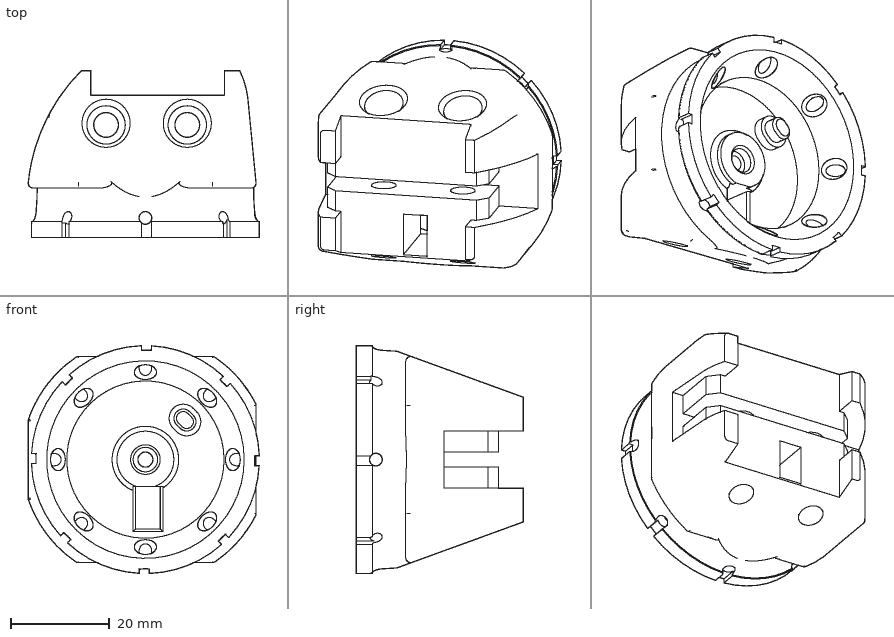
import cadquery as cq
import math

OVERALL_LENGTH = 33.83
EDGE_FILLET = 1.0
FAR = 56.2

RING_RADIUS = 23.1
RING_LENGTH = 3.3
NECK_FOOT_RADIUS = 22.85
NECK_WAIST_RADIUS = 22.2
NECK_WAIST_Y = 4.9
NECK_RADIUS = 21.95
NECK_STRAIGHT_Y = 9.3
NECK_END_Y = 11.7

BODY_START = 10.03
BODY_RADIUS = 25.05
BODY_END_HALF_HEIGHT = 12.65
BODY_TAPER = math.radians(20)
LEFT_START_X = -23.85
LEFT_MIDDLE = (-20.5, 22.95)
LEFT_END_X = -13.0
RIGHT_START_X = 22.55
RIGHT_BEND = (20.8, 27.88)
RIGHT_END_X = 19.1
SHARP_EDGE_START_Y = 25.75

CUP_MOUTH_RADIUS = 20.0
CUP_RADIUS = 15.95
CUP_CONE_DEPTH = 6.15
CUP_DEPTH = 13.02

BOSS_RADIUS = 5.75
BOSS_FACE_Y = 10.95
BORE_RADIUS = 1.5
BORE_RECESS_RADIUS = 2.5
BORE_RECESS_DEPTH = 2.5
SMALL_CHAMFER = 0.5

STUD_OFFSET = 8.0
STUD_RADIUS = 1.87
STUD_STRETCH = 1.0
STUD_TIP_Y = 8.0
PAD_MARGIN = 1.0

WINDOW_WIDTH = 4.95
WINDOW_CENTER_X = 0.5
WINDOW_TOP = -5.5
WINDOW_BOTTOM = -14.05

RADIAL_COUNT = 8
RADIAL_HOLE_RADIUS = 1.25
RADIAL_HOLE_Y = 4.0
COUNTERSINK_CLEARANCE = 0.45
NOTCH_WIDTH = 1.95
NOTCH_SHIFT = 0.25
NOTCH_FLOOR_RADIUS = 22.1

BOLT_X = (-7.95, 8.5)
BOLT_Y = 22.8
BOLT_RADIUS = 2.5
BOLT_HEAD_RADIUS = 3.9
BOLT_SEAT_Z = 10.0

BACK_NOTCH_X = (-11.05, 15.98)
BACK_NOTCH_Y = 28.85
SLOT_Y = 17.8
SLOT_HALF_WIDTH = 1.5
SIDE_POCKET_HALF_WIDTH = 5.75
SIDE_POCKET_X = -14.35
SIDE_POCKET_BEVEL = 2.15


def box(x_range, y_range, z_range):
    """Axis-aligned block between the given limits."""
    size = [high - low for low, high in (x_range, y_range, z_range)]
    corner = cq.Vector(x_range[0], y_range[0], z_range[0])
    return cq.Workplane(obj=cq.Solid.makeBox(*size, corner))


def y_cylinder(radius, start, end):
    """Cylinder about the Y axis."""
    solid = cq.Solid.makeCylinder(radius, end - start, cq.Vector(0, start, 0), cq.Vector(0, 1, 0))
    return cq.Workplane(obj=solid)


def z_cylinder(x, y, radius, start, end):
    """Cylinder parallel to Z."""
    solid = cq.Solid.makeCylinder(radius, end - start, cq.Vector(x, y, start), cq.Vector(0, 0, 1))
    return cq.Workplane(obj=solid)


def wedge():
    """Symmetric wedge whose sloping faces form the top and bottom of the body."""
    start_half_height = BODY_END_HALF_HEIGHT + OVERALL_LENGTH * math.tan(BODY_TAPER)
    outline = [
        (0, -start_half_height),
        (OVERALL_LENGTH, -BODY_END_HALF_HEIGHT),
        (OVERALL_LENGTH, BODY_END_HALF_HEIGHT),
        (0, start_half_height),
    ]
    return cq.Workplane("YZ").polyline(outline).close().extrude(FAR, both=True)


def jaw_body():
    """Rounded body: a cylinder limited by the wedge and two profiled side faces."""
    sides = (
        cq.Workplane("XY")
        .moveTo(RIGHT_START_X, BODY_START)
        .lineTo(*RIGHT_BEND)
        .tangentArcPoint((RIGHT_END_X, OVERALL_LENGTH), relative=False)
        .lineTo(LEFT_END_X, OVERALL_LENGTH)
        .threePointArc(LEFT_MIDDLE, (LEFT_START_X, BODY_START))
        .close()
        .extrude(FAR, both=True)
    )
    body = y_cylinder(BODY_RADIUS, BODY_START, OVERALL_LENGTH).intersect(wedge()).intersect(sides)

    def is_rounded(edge):
        center = edge.Center()
        on_back = center.y > OVERALL_LENGTH - EDGE_FILLET
        on_sharp_top_left = center.x < 0 and center.y > SHARP_EDGE_START_Y and center.z > 0
        return not (on_back or on_sharp_top_left)

    rounded = [edge for edge in body.edges().vals() if is_rounded(edge)]
    return body.newObject(rounded).fillet(EDGE_FILLET)


def ring_and_neck():
    """Plain ring at the open end with a concave flare leading into the neck."""
    profile = (
        cq.Workplane("XY")
        .moveTo(0, NECK_END_Y)
        .lineTo(NECK_RADIUS, NECK_END_Y)
        .lineTo(NECK_RADIUS, NECK_STRAIGHT_Y)
        .spline(
            [(NECK_WAIST_RADIUS, NECK_WAIST_Y), (NECK_FOOT_RADIUS, RING_LENGTH)],
            tangents=[(0, -1), (1, -1)],
            includeCurrent=True,
        )
        .lineTo(RING_RADIUS, RING_LENGTH)
        .lineTo(RING_RADIUS, 0)
        .lineTo(0, 0)
        .close()
    )
    return profile.revolve(360, (0, 0, 0), (0, 1, 0)).intersect(wedge())


def cup():
    """Conical mouth followed by a straight bore."""
    profile = (
        cq.Workplane("XY")
        .lineTo(CUP_MOUTH_RADIUS, 0)
        .lineTo(CUP_RADIUS, CUP_CONE_DEPTH)
        .lineTo(CUP_RADIUS, CUP_DEPTH)
        .lineTo(0, CUP_DEPTH)
        .close()
    )
    return profile.revolve(360, (0, 0, 0), (0, 1, 0))


def slanted_countersink(radius, tilt):
    """Countersink for a hole along Z that opens in a plane through the origin.

    The plane falls towards +Y at the angle tilt. Both edges of the countersink lie where a ball of
    radius EDGE_FILLET touches the plane and the hole wall, so its width follows the slant.
    """
    rim_radius = radius + EDGE_FILLET
    rim_shift = EDGE_FILLET * math.sin(tilt)
    throat_tilt = math.atan(math.tan(tilt) * rim_radius / radius)
    rim_plane = cq.Plane(
        (0, rim_shift, -rim_shift * math.tan(tilt)), (1, 0, 0), (0, math.sin(tilt), math.cos(tilt))
    )
    throat_plane = cq.Plane(
        (0, 0, -EDGE_FILLET / math.cos(tilt)), (1, 0, 0), (0, math.sin(throat_tilt), math.cos(throat_tilt))
    )
    rim = cq.Workplane(rim_plane).ellipse(rim_radius, rim_radius / math.cos(tilt))
    throat = cq.Workplane(throat_plane).ellipse(radius, radius / math.cos(throat_tilt))
    cone = cq.Solid.makeLoft([throat.val(), rim.val()], True)
    clearance = rim.extrude(COUNTERSINK_CLEARANCE)
    return cq.Workplane(obj=cone).union(clearance)


def cut_radial_holes(part):
    """Eight radial holes, countersunk in the conical mouth, each with a notch in the rim."""
    slope = (CUP_MOUTH_RADIUS - CUP_RADIUS) / CUP_CONE_DEPTH
    mouth_radius_at_hole = CUP_MOUTH_RADIUS - slope * RADIAL_HOLE_Y
    hole = z_cylinder(0, RADIAL_HOLE_Y, RADIAL_HOLE_RADIUS, CUP_RADIUS, RING_RADIUS)
    countersink = slanted_countersink(RADIAL_HOLE_RADIUS, math.atan(slope))
    countersink = countersink.rotate((0, 0, 0), (1, 0, 0), 180)
    countersink = countersink.translate((0, RADIAL_HOLE_Y, mouth_radius_at_hole))
    notch_x = (NOTCH_SHIFT - NOTCH_WIDTH / 2, NOTCH_SHIFT + NOTCH_WIDTH / 2)
    notch = box(notch_x, (0, RADIAL_HOLE_Y), (NOTCH_FLOOR_RADIUS, FAR))
    for i in range(RADIAL_COUNT):
        for cutter in (hole, countersink, notch):
            part = part.cut(cutter.rotate((0, 0, 0), (0, 1, 0), i * 360 / RADIAL_COUNT))
    return part


def boss():
    """Central boss with a concave fillet at its foot."""
    profile = (
        cq.Workplane("XY")
        .moveTo(0, BOSS_FACE_Y)
        .lineTo(BOSS_RADIUS, BOSS_FACE_Y)
        .lineTo(BOSS_RADIUS, CUP_DEPTH - EDGE_FILLET)
        .radiusArc((BOSS_RADIUS + EDGE_FILLET, CUP_DEPTH), -EDGE_FILLET)
        .lineTo(0, CUP_DEPTH)
        .close()
    )
    return profile.revolve(360, (0, 0, 0), (0, 1, 0))


def obround(radius, start, end):
    """Slightly stretched round post, its long axis square to the line from the main axis."""
    plane = cq.Plane((STUD_OFFSET, end, STUD_OFFSET), (1, 0, -1), (0, -1, 0))
    return cq.Workplane(plane).slot2D(2 * radius + STUD_STRETCH, 2 * radius).extrude(end - start)


def stud():
    """Chamfered stud standing on a flat pad."""
    pin = obround(STUD_RADIUS, STUD_TIP_Y, CUP_DEPTH).faces("<Y").chamfer(SMALL_CHAMFER)
    return pin.union(obround(STUD_RADIUS + PAD_MARGIN, BOSS_FACE_Y, CUP_DEPTH))


def center_bore():
    """Through bore with a chamfered recess in the boss face."""
    recess = y_cylinder(BORE_RECESS_RADIUS, BOSS_FACE_Y, BOSS_FACE_Y + BORE_RECESS_DEPTH)
    entry = cq.Solid.makeCone(
        BORE_RECESS_RADIUS + SMALL_CHAMFER,
        BORE_RECESS_RADIUS,
        SMALL_CHAMFER,
        cq.Vector(0, BOSS_FACE_Y, 0),
        cq.Vector(0, 1, 0),
    )
    return y_cylinder(BORE_RADIUS, BOSS_FACE_Y, FAR).union(recess).union(cq.Workplane(obj=entry))


def window():
    """Rectangular opening through the floor, bevelled on three sides and trimming the boss."""
    left = WINDOW_CENTER_X - WINDOW_WIDTH / 2
    right = WINDOW_CENTER_X + WINDOW_WIDTH / 2
    opening = box((left, right), (BOSS_FACE_Y, FAR), (WINDOW_BOTTOM, WINDOW_TOP))
    lip_x = (left - SMALL_CHAMFER, right + SMALL_CHAMFER)
    lip_z = (WINDOW_BOTTOM - SMALL_CHAMFER, WINDOW_TOP)
    lip = box(lip_x, (BOSS_FACE_Y, CUP_DEPTH + SMALL_CHAMFER), lip_z)
    lip = lip.edges(">Y and (<X or >X or <Z)").chamfer(SMALL_CHAMFER)
    return opening.union(lip)


def cut_bolt_holes(part):
    """Two cross holes with deep head recesses, countersunk in the sloping top face."""
    top_z = BODY_END_HALF_HEIGHT + (OVERALL_LENGTH - BOLT_Y) * math.tan(BODY_TAPER)
    for x in BOLT_X:
        part = part.cut(z_cylinder(x, BOLT_Y, BOLT_RADIUS, -FAR, FAR))
        part = part.cut(z_cylinder(x, BOLT_Y, BOLT_HEAD_RADIUS, BOLT_SEAT_Z, FAR))
        countersink = slanted_countersink(BOLT_HEAD_RADIUS, BODY_TAPER)
        part = part.cut(countersink.translate((x, BOLT_Y, top_z)))
    return part


def side_pockets():
    """Pocket in the -X face, its inner wall bevelled towards the far end, and its mirror image at +X."""
    half = SIDE_POCKET_HALF_WIDTH
    notch_left, notch_right = BACK_NOTCH_X
    outline = [
        (-FAR, SLOT_Y),
        (SIDE_POCKET_X, SLOT_Y),
        (SIDE_POCKET_X, BACK_NOTCH_Y - SIDE_POCKET_BEVEL),
        (SIDE_POCKET_X + SIDE_POCKET_BEVEL, BACK_NOTCH_Y),
        (notch_left, BACK_NOTCH_Y),
        (notch_left, FAR),
        (-FAR, FAR),
    ]
    pocket = cq.Workplane("XY").workplane(offset=-half).polyline(outline).close().extrude(2 * half)
    return pocket.union(pocket.mirror("YZ", ((notch_left + notch_right) / 2, 0, 0)))


body = cut_bolt_holes(jaw_body())
shell = cut_radial_holes(ring_and_neck().cut(cup()))
part = body.cut(cup()).union(shell).union(boss()).union(stud())
part = part.cut(window()).cut(center_bore())
part = part.cut(box(BACK_NOTCH_X, (BACK_NOTCH_Y, FAR), (-FAR, FAR)))
part = part.cut(box((-FAR, FAR), (SLOT_Y, FAR), (-SLOT_HALF_WIDTH, SLOT_HALF_WIDTH)))
result = part.cut(side_pockets())